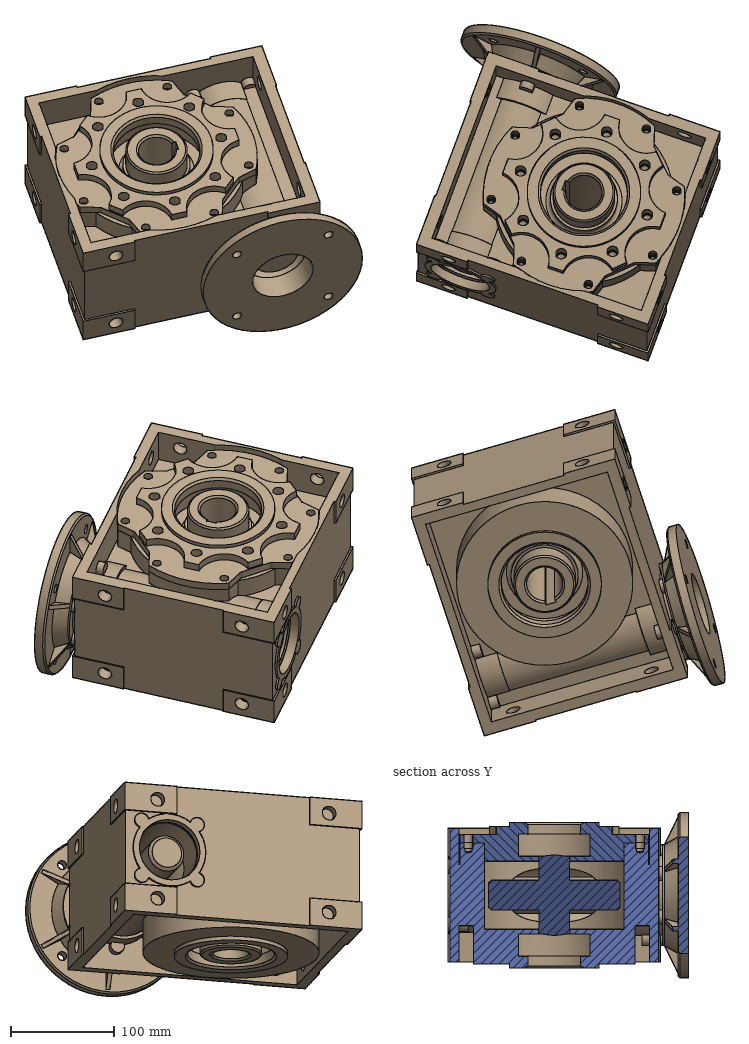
import cadquery as cq
import math


centre_distance = 90.0
side_reach = 103.0
back_reach = 135.0
half_height = 64.7
wall = 11.0
back_wall = 12.0
pad_thickness = 2.0
back_pad_thickness = 1.0
pad_length = 52.1
pad_height = 27.5
floor_height = 29.8

foot_hole_radius = 6.8
foot_hole_inset = 33.0
foot_hole_height = 50.0
blind_foot_hole_depth = 9.5

tunnel_bore_radius = 30.3
tunnel_radius = 36.0
tunnel_rear_radius = 36.3
tunnel_rear_end = -69.5
tunnel_front_radius = 39.0
tunnel_front_start = 71.5
rear_lug_radius = 7.0
rear_lug_pitch_radius = 39.3
rear_lug_count = 4
rear_lug_first_angle = 45
rear_lug_end = -83.0
front_lug_radius = 6.8
front_lug_pitch_radius = 42.0
front_lug_count = 6
front_lug_first_angle = 30
front_lug_start = 85.0
ring_groove_offset = 9.3
ring_groove_width = 2.0
ring_groove_depth = 1.5

seal_bore_radius = 42.0
seal_bore_chamfer = 2.2
bearing_seat_radius = 48.0
bearing_seat_top = 59.0
hub_seat_radius = 36.9
lip_top = 37.7
lip_bottom = 32.8
cavity_radius = 75.3
boss_radius = 86.5
bottom_boss_radius = 85.2
plate_radius = 97.5
plate_bottom = 50.8
plate_top = 58.7
recess_clearance = 0.5
star_top = 66.5
rim_top = 70.5
rim_radius = 55.0
notch_floor = 82.2
notch_half_width = 16.0
notch_fillet = 4.0
lobe_count = 4
notch_flare = 1.9
star_point_reach = 80.8
cover_screw_radius = 4.0
cover_screw_pitch_radius = 89.8
cover_screw_depth = 13.6
scallop_radius = 26.8
face_screw_radius = 5.2
face_screw_pitch_radius = 65.0
face_screw_depth = 13.6
thread_height = 0.8
drill_tail = 2.7
point_count = 8

wheel_radius = 72.0
wheel_half_width = 14.5
wheel_chamfer = 2.5
hub_radius = 29.8
hub_half_length = 69.3
hub_chamfer = 1.6
shoulder_radius = 32.5
shoulder_top = 47.8
shaft_bore_radius = 17.5
shaft_bore_chamfer = 2.0
keyway_half_width = 5.0
keyway_reach = 20.7

worm_start = -92.8
worm_radius = 17.7
worm_end_chamfer = 3.0
collar_radius = 22.5
collar_start = 71.5
collar_taper = 2.7

flange_back = 104.8
flange_face = 130.0
flange_plate_thickness = 10.0
flange_radius = 80.0
flange_chamfer = 1.6
neck_radius = 49.0
neck_rim_width = 1.6
cone_radius = 56.5
rib_count = 6
rib_reach = 76.2
rib_thickness = 4.0
flange_hole_radius = 4.5
flange_hole_pitch_radius = 65.0
flange_hole_count = 4
flange_hole_first_angle = 45


def disc(radius, z_low, z_high):
    """Cylinder on the output axis."""
    return cq.Workplane("XY").workplane(offset=z_low).circle(radius).extrude(z_high - z_low)


def block(x_low, x_high, y_low, y_high, z_low, z_high):
    """Box between the given limits."""
    size = (x_high - x_low, y_high - y_low, z_high - z_low)
    return cq.Workplane("XY").box(*size, centered=False).translate((x_low, y_low, z_low))


def rod(radius, x_low, x_high, y=centre_distance, z=0.0):
    """Cylinder parallel to X, on the worm axis unless told otherwise."""
    return cq.Workplane("YZ", origin=(x_low, y, z)).circle(radius).extrude(x_high - x_low)


def spin_about_worm_axis(profile):
    """Solid of revolution from (x, radius) points."""
    sketch = cq.Workplane("XY", origin=(0, centre_distance, 0)).polyline(profile).close()
    return sketch.revolve(360, (0, 0, 0), (1, 0, 0))


def spin_about_output_axis(profile):
    """Solid of revolution from (radius, z) points."""
    return cq.Workplane("XZ").polyline(profile).close().revolve(360, (0, 0, 0), (0, 1, 0))


def polar_points(radius, count, first_angle):
    angles = [math.radians(first_angle + i * 360 / count) for i in range(count)]
    return [(radius * math.cos(a), radius * math.sin(a)) for a in angles]


def lugs(radius, pitch_radius, count, first_angle, x_low, x_high):
    """Screw lugs around the worm axis, parallel to X."""
    group = cq.Workplane("XY")
    for y, z in polar_points(pitch_radius, count, first_angle):
        group = group.add(rod(radius, x_low, x_high, centre_distance + y, z))
    return group.combine()


def tapped_hole(radius, x, y, top, depth):
    """Blind threaded bore, followed by a narrower drilled tail with a conical bottom."""
    drill_radius = radius - thread_height
    thread_end = top - depth
    drill_end = thread_end - drill_tail
    profile = [
        (0, top),
        (radius, top),
        (radius, thread_end),
        (drill_radius, thread_end),
        (drill_radius, drill_end),
        (0, drill_end - drill_radius / 2),
    ]
    return spin_about_output_axis(profile).translate((x, y, 0))


def cover_screw_holes():
    """Cutters that pass through the cover plate into the housing."""
    holes = cq.Workplane("XY")
    for x, y in polar_points(cover_screw_pitch_radius, point_count, 180 / point_count):
        holes = holes.add(tapped_hole(cover_screw_radius, x, y, plate_top, cover_screw_depth))
    return holes.combine()


def output_bore():
    """Cutter for the stepped bore around the upper hub: lip, bearing seat and seal bore."""
    return spin_about_output_axis([
        (0, lip_bottom),
        (hub_seat_radius, lip_bottom),
        (hub_seat_radius, lip_top),
        (bearing_seat_radius, lip_top),
        (bearing_seat_radius, bearing_seat_top),
        (seal_bore_radius, bearing_seat_top),
        (seal_bore_radius, rim_top - seal_bore_chamfer),
        (seal_bore_radius + seal_bore_chamfer, rim_top),
        (0, rim_top),
    ])


def lobed_disc(z_low, z_high):
    """Disc with four flared notches on the diagonals, which leave four lobes."""
    notch_end = plate_radius + 2.7
    end_half_width = notch_half_width + notch_flare * (notch_end - notch_floor)
    notch = (
        cq.Workplane("XY").workplane(offset=z_low)
        .polyline([
            (notch_floor, -notch_half_width),
            (notch_end, -end_half_width),
            (notch_end, end_half_width),
            (notch_floor, notch_half_width),
        ])
        .close().extrude(z_high - z_low)
        .edges("|Z and <X").fillet(notch_fillet)
    )
    lobed = disc(plate_radius, z_low, z_high)
    for i in range(lobe_count):
        angle = (i + 0.5) * 360 / lobe_count
        lobed = lobed.cut(notch.rotate((0, 0, 0), (0, 0, 1), angle))
    return lobed


def housing_block():
    """Block with a raised pad on both faces of every vertical corner, top and bottom."""
    body_reach = side_reach - pad_thickness
    body_back = back_reach - back_pad_thickness
    body = block(-body_reach, body_reach, -body_reach, body_back, -half_height, half_height)
    for z_low in (-half_height, half_height - pad_height):
        for x_low in (-side_reach, side_reach - pad_length):
            for y_low in (-side_reach, back_reach - pad_length):
                pad = block(x_low, x_low + pad_length, y_low, y_low + pad_length,
                            z_low, z_low + pad_height)
                body = body.union(pad)
    return body


def pockets():
    """Pockets open at the top and the bottom, leaving a slab at mid height."""
    reach = side_reach - wall
    back = back_reach - back_wall
    upper = block(-reach, reach, -reach, back, floor_height, half_height)
    lower = block(-reach, reach, -reach, back, -half_height, -floor_height)
    return upper.union(lower)


def foot_holes():
    """Cutters for the foot holes in the side walls."""
    x_hole = side_reach - foot_hole_inset
    y_front = -side_reach + foot_hole_inset
    y_back = back_reach - foot_hole_inset
    holes = cq.Workplane("XY")
    for z in (-foot_hole_height, foot_hole_height):
        for y in (y_front, y_back):
            holes = holes.add(rod(foot_hole_radius, -side_reach, -side_reach + blind_foot_hole_depth, y, z))
        holes = holes.add(rod(foot_hole_radius, side_reach - wall, side_reach, y_front, z))
        for x in (-x_hole, x_hole):
            for y_low, depth in ((-side_reach, wall), (back_reach - back_wall, back_wall)):
                hole = cq.Workplane("XZ", origin=(x, y_low, z)).circle(foot_hole_radius).extrude(-depth)
                holes = holes.add(hole)
    return holes.combine()


def worm_tunnel():
    """Outside of the worm tunnel with its end collars and screw lugs."""
    tunnel = rod(tunnel_radius, -side_reach + wall, side_reach - wall)
    tunnel = tunnel.union(rod(tunnel_rear_radius, -side_reach, tunnel_rear_end))
    tunnel = tunnel.union(rod(tunnel_front_radius, tunnel_front_start, flange_back))
    rear_lugs = lugs(rear_lug_radius, rear_lug_pitch_radius, rear_lug_count, rear_lug_first_angle,
                     -side_reach, rear_lug_end)
    front_lugs = lugs(front_lug_radius, front_lug_pitch_radius, front_lug_count, front_lug_first_angle,
                      front_lug_start, flange_back)
    return tunnel.union(rear_lugs).union(front_lugs)


def make_housing():
    body = housing_block().cut(pockets())
    body = body.union(worm_tunnel())
    body = body.union(disc(boss_radius, 0, plate_bottom)).union(lobed_disc(0, plate_bottom))
    body = body.union(disc(bottom_boss_radius, -star_top, 0)).union(disc(rim_radius, -rim_top, 0))
    body = body.cut(foot_holes())
    body = body.cut(disc(plate_radius + recess_clearance, plate_bottom, half_height))
    body = body.cut(disc(cavity_radius, -lip_bottom, plate_bottom))
    body = body.cut(output_bore().mirror("XY")).cut(cover_screw_holes())
    body = body.cut(rod(tunnel_bore_radius, -side_reach, flange_back))
    groove_start = -side_reach + ring_groove_offset
    groove_radius = tunnel_bore_radius + ring_groove_depth
    return body.cut(rod(groove_radius, groove_start, groove_start + ring_groove_width))


def star():
    """Eight-pointed raised face: an octagon scalloped around each cover screw."""
    face = (
        cq.Workplane("XY").workplane(offset=plate_top)
        .polygon(point_count, 2 * star_point_reach, circumscribed=True)
        .extrude(star_top - plate_top)
    )
    scallops = (
        cq.Workplane("XY").workplane(offset=plate_top)
        .pushPoints(polar_points(cover_screw_pitch_radius, point_count, 180 / point_count))
        .circle(scallop_radius).extrude(star_top - plate_top)
    )
    return face.cut(scallops)


def make_cover():
    cover = lobed_disc(plate_bottom, plate_top).union(star())
    cover = cover.union(disc(rim_radius, plate_top, rim_top))
    cover = cover.union(disc(cavity_radius, lip_bottom, plate_bottom))
    cover = cover.cut(output_bore()).cut(cover_screw_holes())
    for x, y in polar_points(face_screw_pitch_radius, point_count, 0):
        cover = cover.cut(tapped_hole(face_screw_radius, x, y, star_top, face_screw_depth))
    return cover


def hub_half():
    """Upper half of the hollow hub, with a filleted foot that rises from the seat to the shoulder."""
    fillet_radius = hub_seat_radius - shoulder_radius
    fillet_end = (shoulder_radius, lip_top + fillet_radius)
    inset = fillet_radius * (1 - math.sqrt(0.5))
    fillet_middle = (shoulder_radius + inset, lip_top + inset)
    profile = (
        cq.Workplane("XZ")
        .moveTo(0, 0)
        .lineTo(hub_seat_radius, 0)
        .lineTo(hub_seat_radius, lip_top)
        .threePointArc(fillet_middle, fillet_end)
        .lineTo(shoulder_radius, shoulder_top)
        .lineTo(hub_radius, shoulder_top)
        .lineTo(hub_radius, hub_half_length - hub_chamfer)
        .lineTo(hub_radius - hub_chamfer, hub_half_length)
        .lineTo(0, hub_half_length)
        .close()
    )
    return profile.revolve(360, (0, 0, 0), (0, 1, 0))


def make_wheel():
    rim = disc(wheel_radius, -wheel_half_width, wheel_half_width).edges().chamfer(wheel_chamfer)
    hub = hub_half()
    wheel = rim.union(hub).union(hub.mirror("XY"))
    mouth_radius = shaft_bore_radius + shaft_bore_chamfer
    bore_end = hub_half_length - shaft_bore_chamfer
    shaft_bore = spin_about_output_axis([
        (0, -hub_half_length),
        (mouth_radius, -hub_half_length),
        (shaft_bore_radius, -bore_end),
        (shaft_bore_radius, bore_end),
        (mouth_radius, hub_half_length),
        (0, hub_half_length),
    ])
    keyway = block(-keyway_half_width, keyway_half_width, 0, keyway_reach,
                   -hub_half_length, hub_half_length)
    return wheel.cut(shaft_bore).cut(keyway)


def make_worm():
    return spin_about_worm_axis([
        (worm_start, 0),
        (worm_start, worm_radius - worm_end_chamfer),
        (worm_start + worm_end_chamfer, worm_radius),
        (collar_start, worm_radius),
        (collar_start + collar_taper, collar_radius),
        (flange_back, collar_radius),
        (flange_back, 0),
    ])


def make_flange():
    plate_back = flange_face - flange_plate_thickness
    cone_start = flange_back + neck_rim_width
    rib_root = (tunnel_bore_radius + neck_radius) / 2
    flange = spin_about_worm_axis([
        (flange_back, tunnel_bore_radius),
        (flange_back, neck_radius),
        (cone_start, neck_radius),
        (plate_back, cone_radius),
        (plate_back, flange_radius - flange_chamfer),
        (plate_back + flange_chamfer, flange_radius),
        (flange_face, flange_radius),
        (flange_face, tunnel_bore_radius),
    ])
    axis_point = (0, centre_distance, 0)
    rib = (
        cq.Workplane("XZ", origin=(0, centre_distance + rib_thickness / 2, 0))
        .polyline([
            (cone_start, rib_root),
            (cone_start, neck_radius),
            (plate_back, rib_reach),
            (plate_back, rib_root),
        ])
        .close().extrude(rib_thickness)
    )
    for i in range(rib_count):
        flange = flange.union(rib.rotate(axis_point, (1, centre_distance, 0), i * 360 / rib_count))
    hole_places = polar_points(flange_hole_pitch_radius, flange_hole_count, flange_hole_first_angle)
    for y, z in hole_places:
        flange = flange.cut(rod(flange_hole_radius, plate_back, flange_face, centre_distance + y, z))
    return flange


housing = make_housing()
cover = make_cover()
wheel = make_wheel()
worm = make_worm()
flange = make_flange()

result = cq.Compound.makeCompound([housing.val(), cover.val(), wheel.val(), worm.val(), flange.val()])